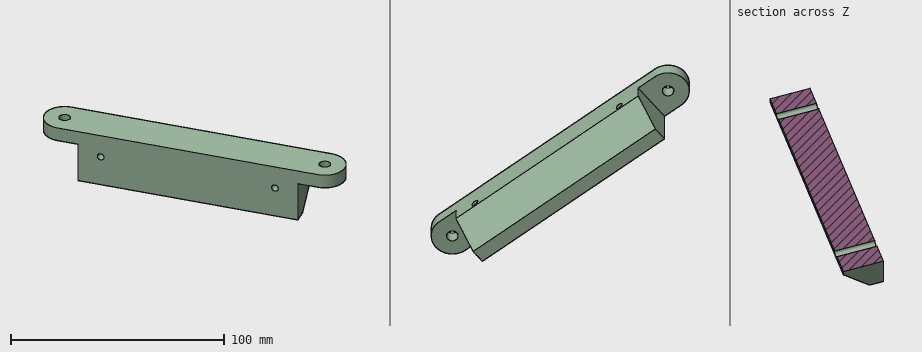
import cadquery as cq

length = 149.0
width = 20.0
plate_thickness = 7.0
plate_hole_diameter = 5.4
plate_hole_spacing = length - width

total_height = 27.0
block_length = 109.0
block_foot_width = 7.0
slope_run = width - block_foot_width
slope_rise = slope_run

cross_hole_diameter = 3.3
cross_hole_spacing = 86.4
cross_hole_depth_below_top = 11.6

front_y = -width / 2
back_y = width / 2
plate_bottom = total_height - plate_thickness


def make_plate():
    return (
        cq.Workplane("XY", origin=(0, 0, plate_bottom))
        .slot2D(length, width)
        .extrude(plate_thickness)
    )


def make_block():
    profile = [
        (front_y, 0),
        (front_y + block_foot_width, 0),
        (back_y, slope_rise),
        (back_y, total_height),
        (front_y, total_height),
    ]
    return (
        cq.Workplane("YZ")
        .polyline(profile)
        .close()
        .extrude(block_length / 2, both=True)
    )


def make_plate_holes():
    return (
        cq.Workplane("XY", origin=(0, 0, plate_bottom))
        .rarray(plate_hole_spacing, 1.5, 2, 1)
        .circle(plate_hole_diameter / 2)
        .extrude(plate_thickness)
    )


def make_cross_holes():
    return (
        cq.Workplane("XZ", origin=(0, 0, total_height - cross_hole_depth_below_top))
        .rarray(cross_hole_spacing, 1.5, 2, 1)
        .circle(cross_hole_diameter / 2)
        .extrude(width / 2, both=True)
    )


body = make_plate().union(make_block())
result = body.cut(make_plate_holes()).cut(make_cross_holes())